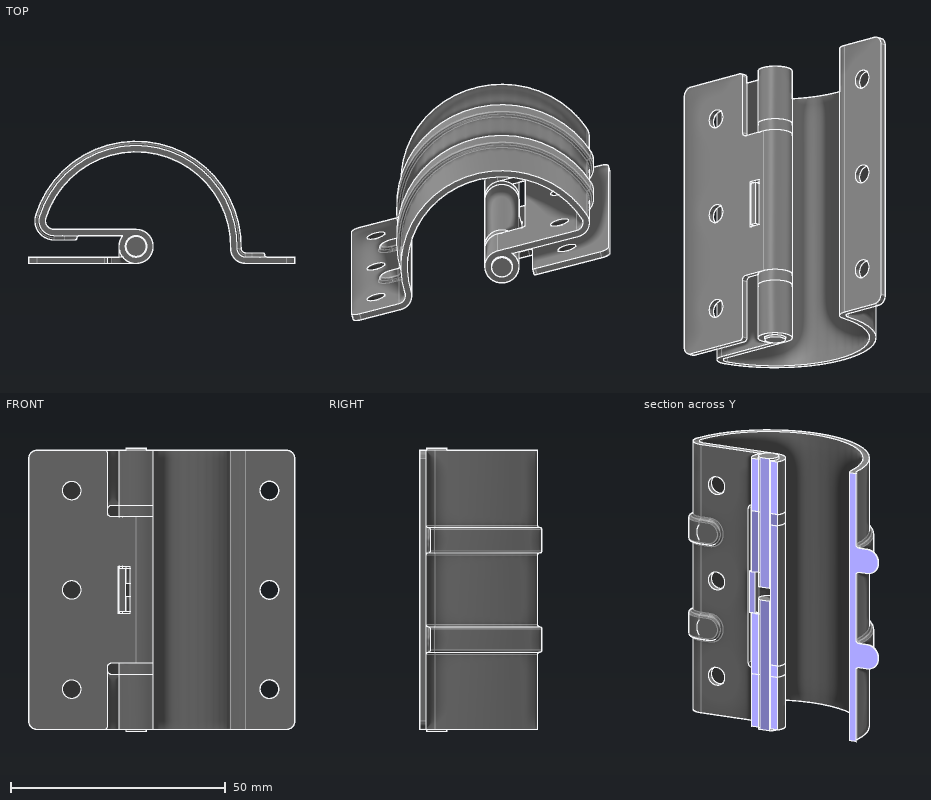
import cadquery as cq
import math


SHEET = 1.5
BARREL_DIAMETER = 8.0
BARREL_RADIUS = BARREL_DIAMETER / 2
BORE_RADIUS = BARREL_RADIUS - SHEET
HEIGHT = 65.0
CORNER_RADIUS = 2.0
NOTCH_RADIUS = 1.0
NOTCH_X = -6.65

HOLE_DIAMETER = 4.3
HOLE_PITCH = 23.1
HOLE_Z = (-HOLE_PITCH, 0, HOLE_PITCH)
LEAF_HOLE_X = -15.0
FOOT_HOLE_X = 31.0

LEAF_LEFT = -25.0
LEAF_TIP_RADIUS = 0.7
LEAF_KNUCKLE_HALF = 17.0
CURL_END_Y = -1.0
TAB_HALF = 5.0
SLOT_HALF = 5.5
SLOT_LEFT = -4.2
SLOT_RIGHT = -1.4

DOME_RADIUS = 23.5
BEND_INNER = 2.0
BEND_OUTER = BEND_INNER + SHEET
FOOT_RIGHT = 36.95
COVER_NOTCH_HALF = 19.7

RIB_HEIGHT = 1.0
RIB_WIDTH = 5.95
RIB_EDGE_RADIUS = 0.49
RIB_Z = HOLE_PITCH / 2
RIB_START_X = -16.7
RIB_END_X = 27.0

KEY_RIGHT = -0.65
PIN_RADIUS = 2.4
PIN_OUTER_Z = 33.0
PIN_INNER_Z = 1.5

BASE_Y = -BARREL_RADIUS
BASE_TOP_Y = BASE_Y + SHEET
WALL_OUTER_Y = BORE_RADIUS

LEFT_BEND_Y = WALL_OUTER_Y + BEND_OUTER
LEFT_BEND_X = -math.sqrt((DOME_RADIUS - BEND_OUTER) ** 2 - LEFT_BEND_Y**2)
RIGHT_BEND_Y = BASE_Y + BEND_OUTER
RIGHT_BEND_X = math.sqrt((DOME_RADIUS + BEND_INNER) ** 2 - RIGHT_BEND_Y**2)
LEFT_TANGENT = math.atan2(LEFT_BEND_Y, LEFT_BEND_X)
RIGHT_TANGENT = math.atan2(RIGHT_BEND_Y, RIGHT_BEND_X)


def block(x0, x1, y0, y1, z0, z1):
    """Box between two corners."""
    return cq.Workplane("XY").box(x1 - x0, y1 - y0, z1 - z0, centered=False).translate((x0, y0, z0))


def tube(outer_radius, inner_radius, z0, z1):
    """Ring around the hinge axis."""
    return cq.Workplane("XY", origin=(0, 0, z0)).circle(outer_radius).circle(inner_radius).extrude(z1 - z0)


def y_cylinders(x, z_values, radius, y0, y1):
    """Cylinders along Y at one X and several Z."""
    plane = cq.Workplane(cq.Plane(origin=(x, y0, 0), xDir=(1, 0, 0), normal=(0, -1, 0)))
    return plane.pushPoints([(0, z) for z in z_values]).circle(radius).extrude(y0 - y1)


def polar(center, radius, angle):
    """Point at an angle on a circle."""
    return (center[0] + radius * math.cos(angle), center[1] + radius * math.sin(angle))


def cover_band(inner, outer, start_x, end_x, height):
    """Band that follows the cover, between two offsets outward from its outer face."""
    left = (LEFT_BEND_X, LEFT_BEND_Y)
    right = (RIGHT_BEND_X, RIGHT_BEND_Y)
    left_middle = (LEFT_TANGENT + 1.5 * math.pi) / 2
    dome_middle = (LEFT_TANGENT + RIGHT_TANGENT) / 2
    right_start = math.pi + RIGHT_TANGENT
    right_middle = (right_start + 1.5 * math.pi) / 2

    def face_points(offset):
        """End and middle points of the flat, bend, dome, bend and flat at one offset."""
        return [
            (start_x, WALL_OUTER_Y - offset),
            (LEFT_BEND_X, WALL_OUTER_Y - offset),
            polar(left, BEND_OUTER + offset, left_middle),
            polar((0, 0), DOME_RADIUS + offset, LEFT_TANGENT),
            polar((0, 0), DOME_RADIUS + offset, dome_middle),
            polar((0, 0), DOME_RADIUS + offset, RIGHT_TANGENT),
            polar(right, BEND_INNER - offset, right_middle),
            (RIGHT_BEND_X, BASE_TOP_Y + offset),
            (end_x, BASE_TOP_Y + offset),
        ]

    def trace(profile, points):
        """Continue the profile along one face, from the first point to the last."""
        return (
            profile.lineTo(*points[1])
            .threePointArc(*points[2:4])
            .threePointArc(*points[4:6])
            .threePointArc(*points[6:8])
            .lineTo(*points[8])
        )

    outer_points = face_points(outer)
    inner_points = face_points(inner)[::-1]
    profile = cq.Workplane("XY", origin=(0, 0, -height / 2)).moveTo(*outer_points[0])
    profile = trace(profile, outer_points).lineTo(*inner_points[0])
    return trace(profile, inner_points).close().extrude(height)


def round_edges(body, arc_radius, z_values, fillet):
    """Fillet the tangent edge loops that hold an arc of the given radius at one of the heights."""

    def is_loop_arc(edge):
        if edge.geomType() != "CIRCLE" or abs(edge.radius() - arc_radius) > 0.005:
            return False
        return any(abs(edge.Center().z - z) < 0.005 for z in z_values)

    return body.newObject([edge for edge in body.edges().vals() if is_loop_arc(edge)]).fillet(fillet)


def make_rib():
    """Raised band with round ends, rooted in the cover sheet."""
    root = -SHEET / 2
    rib = cover_band(root, RIB_HEIGHT, RIB_START_X, RIB_END_X, RIB_WIDTH)
    radius = RIB_WIDTH / 2
    rib = rib.union(y_cylinders(RIB_START_X, [0], radius, WALL_OUTER_Y - RIB_HEIGHT, WALL_OUTER_Y - root))
    rib = rib.union(y_cylinders(RIB_END_X, [0], radius, BASE_TOP_Y + root, BASE_TOP_Y + RIB_HEIGHT))
    return round_edges(rib, DOME_RADIUS + RIB_HEIGHT, (-radius, radius), RIB_EDGE_RADIUS)


def make_cover():
    """Domed sheet with foot, end knuckles, ribs and screw holes."""
    cover = cover_band(-SHEET, 0, 0, FOOT_RIGHT, HEIGHT)
    cover = cover.edges("|Y and >X").fillet(CORNER_RADIUS)

    notch = block(NOTCH_X, BARREL_RADIUS, 0, 2 * BARREL_RADIUS, -COVER_NOTCH_HALF, COVER_NOTCH_HALF)
    cover = cover.cut(notch.edges("|Y and <X").fillet(NOTCH_RADIUS))
    knuckle = tube(BARREL_RADIUS, BORE_RADIUS, COVER_NOTCH_HALF, HEIGHT / 2)
    cover = cover.union(knuckle).union(knuckle.mirror("XY"))

    rib = make_rib()
    for z in (-RIB_Z, RIB_Z):
        cover = cover.union(rib.translate((0, 0, z)))
    sides = [z + side * RIB_WIDTH / 2 for z in (-RIB_Z, RIB_Z) for side in (-1, 1)]
    cover = round_edges(cover, DOME_RADIUS, sides, RIB_EDGE_RADIUS)

    cover = cover.cut(y_cylinders(FOOT_HOLE_X, HOLE_Z, HOLE_DIAMETER / 2, BASE_Y, BASE_TOP_Y))
    return cover.cut(y_cylinders(LEAF_HOLE_X, HOLE_Z, HOLE_DIAMETER / 2, WALL_OUTER_Y, BARREL_RADIUS))


def make_leaf():
    """Flat sheet with the middle knuckle rolled from it."""
    half = HEIGHT / 2
    knuckle = LEAF_KNUCKLE_HALF
    leaf = block(LEAF_LEFT, NOTCH_X, BASE_Y, BASE_TOP_Y, -half, half)
    leaf = leaf.edges("|Y and <X").fillet(CORNER_RADIUS)
    leaf = leaf.edges("|Y and >X").fillet(LEAF_TIP_RADIUS)
    leaf = leaf.union(block(NOTCH_X, 0, BASE_Y, BASE_TOP_Y, -knuckle, knuckle))
    inner_corners = cq.selectors.BoxSelector(
        (NOTCH_X - 0.65, BASE_Y, -knuckle - 0.65), (NOTCH_X + 0.65, BASE_TOP_Y, knuckle + 0.65)
    )
    leaf = leaf.edges("|Y").edges(inner_corners).fillet(NOTCH_RADIUS)
    leaf = leaf.cut(y_cylinders(LEAF_HOLE_X, HOLE_Z, HOLE_DIAMETER / 2, BASE_Y, BASE_TOP_Y))
    leaf = leaf.cut(block(SLOT_LEFT, SLOT_RIGHT, BASE_Y, BASE_TOP_Y, -SLOT_HALF, SLOT_HALF))

    curl = tube(BARREL_RADIUS, BORE_RADIUS, -knuckle, knuckle)
    curl = curl.cut(block(-BARREL_RADIUS, 0, BASE_Y, 0, -knuckle, knuckle))
    straight = block(-BARREL_RADIUS, -BORE_RADIUS, CURL_END_Y, 0, -knuckle, knuckle)
    tab = block(-BARREL_RADIUS, -BORE_RADIUS, BASE_Y, CURL_END_Y, -TAB_HALF, TAB_HALF)
    return leaf.union(curl).union(straight).union(tab)


def make_bushing():
    """Upper washer with a key that fills the gap between the rolled sheet end and the leaf."""
    washer = tube(BARREL_RADIUS, BORE_RADIUS, LEAF_KNUCKLE_HALF, COVER_NOTCH_HALF)
    key = tube(BARREL_RADIUS, BORE_RADIUS, TAB_HALF, LEAF_KNUCKLE_HALF)
    key = key.intersect(
        block(-BARREL_RADIUS, KEY_RIGHT, BASE_TOP_Y, CURL_END_Y, TAB_HALF, LEAF_KNUCKLE_HALF)
    )
    return washer.union(key)


def make_pin():
    """Upper pin, from the middle gap to just past the end knuckle."""
    pin_length = PIN_OUTER_Z - PIN_INNER_Z
    return cq.Workplane("XY", origin=(0, 0, PIN_INNER_Z)).circle(PIN_RADIUS).extrude(pin_length)


def with_mirror(body):
    """The upper body and its mirror image below the middle, as separate solids."""
    return [body.val(), body.mirror("XY").val()]


cover = make_cover()
leaf = make_leaf()
bushings = with_mirror(make_bushing())
pins = with_mirror(make_pin())

result = cq.Compound.makeCompound([cover.val(), leaf.val(), *bushings, *pins])